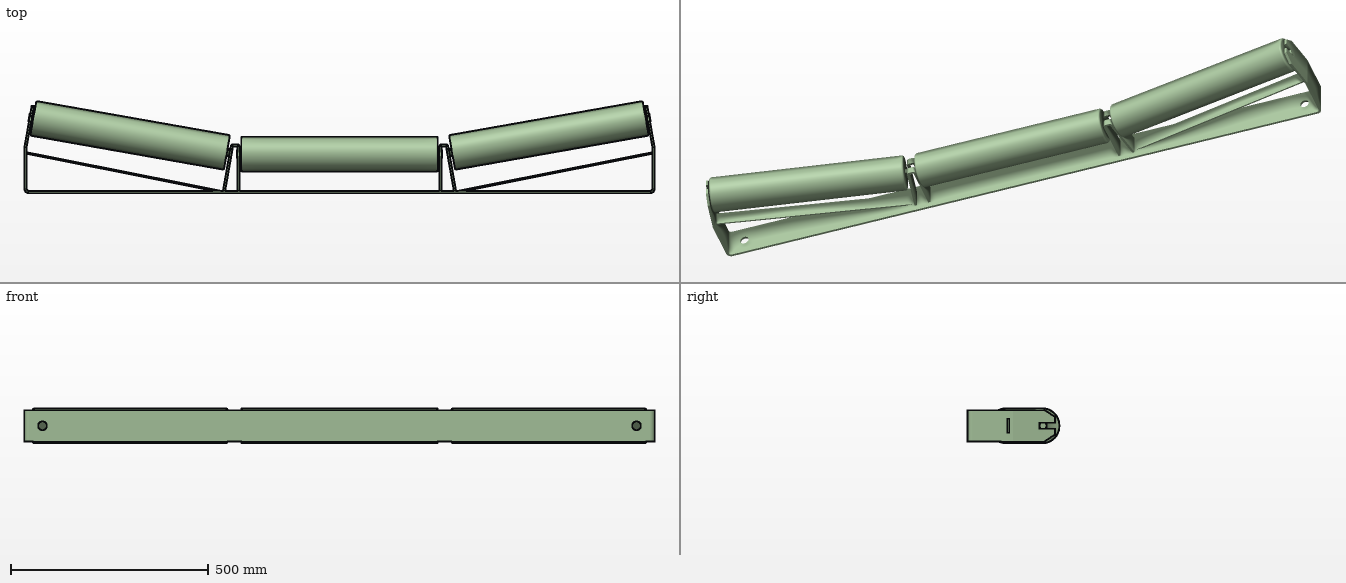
import cadquery as cq
import math

frame_length = 1600.0
strip_width = 80.0
strip_thickness = 6.0
overall_height = 234.0
tilt = 10.0

corner_radius = 13.0
arm_bend_height = 115.0
arm_tip_height = 222.0
tip_chamfer_across = 18.0
tip_chamfer_along = 27.0
bolt_hole_diameter = 22.0
bolt_hole_inset = 46.0

roller_diameter = 90.0
roller_length = 500.0
roller_edge_radius = 5.0
shaft_diameter = 20.0
shaft_flat_width = 15.0
shaft_overhang = 11.0
middle_axis_height = 100.0
outer_roller_x = 531.0

bracket_width = 50.0
bracket_height = 125.0
bracket_bend_radius = 8.0
bracket_upright_x = 253.0
bracket_foot_x = 296.0

brace_width = 35.0
brace_thickness = 4.0
brace_arm_height = 105.0
brace_foot_x = 300.0

half_length = frame_length / 2
tilt_cos = math.cos(math.radians(tilt))
tilt_sin = math.sin(math.radians(tilt))
lean = tilt_sin / tilt_cos
roller_radius = roller_diameter / 2
rounded_edge_rise = (
    (roller_length / 2 - roller_edge_radius) * tilt_sin
    + (roller_radius - roller_edge_radius) * tilt_cos
    + roller_edge_radius
)
outer_axis_height = overall_height - rounded_edge_rise


def bar_along_x(outline, length):
    """Extrude a YZ outline along X, centred on X = 0."""
    return outline.extrude(length).translate((-length / 2, 0, 0))


def extrude_across(outline, width):
    """Extrude an XY outline symmetrically about Z = 0."""
    return outline.extrude(width / 2, both=True)


def mirrored(body):
    """Copy a body to the other side of X = 0."""
    return body.mirror("YZ")


def place_left_roller(body):
    """Move a body modelled about the origin along X onto the left roller axis."""
    tilted = body.rotate((0, 0, 0), (0, 0, 1), -tilt)
    return tilted.translate((-outer_roller_x, outer_axis_height, 0))


def place_middle_roller(body):
    """Move a body modelled about the origin along X onto the middle roller axis."""
    return body.translate((0, middle_axis_height, 0))


def make_roller():
    """Drum along X with a flatted shaft end at each side."""
    drum = bar_along_x(cq.Workplane("YZ").circle(roller_radius), roller_length)
    drum = drum.edges("%CIRCLE").fillet(roller_edge_radius)
    shaft_length = roller_length + 2 * shaft_overhang
    shaft = bar_along_x(cq.Workplane("YZ").circle(shaft_diameter / 2), shaft_length)
    flats = cq.Workplane("XY").box(shaft_length, shaft_diameter, shaft_flat_width)
    return drum.union(shaft.intersect(flats))


def make_shaft_slots():
    """Open-topped slot cutters for the shaft ends of a roller centred on the origin along X."""
    slot_length = 2 * shaft_overhang
    slot = cq.Workplane("XY").box(
        slot_length, overall_height, shaft_flat_width, centered=(False, False, True)
    )
    slot = slot.translate((roller_length / 2, -shaft_diameter / 2, 0))
    return slot.union(mirrored(slot))


def make_brace():
    """Left brace: outer end flush with the outside of the arm, foot flat on the base."""
    run = half_length - brace_foot_x
    drop = brace_arm_height - strip_thickness
    slope = math.atan2(drop, run)
    outline = (
        cq.Workplane("XY")
        .moveTo(-half_length, brace_arm_height)
        .lineTo(-brace_foot_x, strip_thickness)
        .lineTo(-brace_foot_x - brace_thickness / math.sin(slope), strip_thickness)
        .lineTo(-half_length, brace_arm_height - brace_thickness / math.cos(slope))
        .close()
    )
    return extrude_across(outline, brace_width)


def make_bent_strip():
    """Left half of the frame strip: base, upright and leaning arm."""
    inner_x = half_length - strip_thickness
    tip_outer_x = half_length - (arm_tip_height - arm_bend_height) * lean
    tip_inner_x = tip_outer_x - strip_thickness * tilt_cos
    tip_inner_height = arm_tip_height - strip_thickness * tilt_sin
    outline = (
        cq.Workplane("XY")
        .moveTo(0, 0)
        .lineTo(-half_length, 0)
        .lineTo(-half_length, arm_bend_height)
        .lineTo(-tip_outer_x, arm_tip_height)
        .lineTo(-tip_inner_x, tip_inner_height)
        .lineTo(-inner_x, arm_bend_height)
        .lineTo(-inner_x, strip_thickness)
        .lineTo(0, strip_thickness)
        .close()
    )
    strip = extrude_across(outline, strip_width)
    outer_corner = cq.selectors.NearestToPointSelector((-half_length, 0, 0))
    strip = strip.edges(outer_corner).fillet(corner_radius)
    inner_corner = cq.selectors.NearestToPointSelector((-inner_x, strip_thickness, 0))
    return strip.edges(inner_corner).fillet(corner_radius - strip_thickness)


def chamfer_arm_tip(body):
    """Cut both corners off the free end of an arm."""
    edge_z = strip_width / 2
    for side in (-1, 1):
        corner = (
            cq.Workplane("YZ")
            .moveTo(arm_tip_height, side * edge_z)
            .lineTo(arm_tip_height - tip_chamfer_along, side * edge_z)
            .lineTo(arm_tip_height, side * (edge_z - tip_chamfer_across))
            .close()
        )
        body = body.cut(bar_along_x(corner, frame_length))
    return body


def make_frame():
    """One bent strip with openings for the shafts, the braces and the mounting bolts."""
    half = chamfer_arm_tip(make_bent_strip())
    half = half.cut(place_left_roller(make_shaft_slots()))
    half = half.cut(make_brace())
    bolt_hole = (
        cq.Workplane("XZ", origin=(-half_length + bolt_hole_inset, 0, 0))
        .circle(bolt_hole_diameter / 2)
        .extrude(-strip_thickness)
    )
    half = half.cut(bolt_hole)
    return half.union(mirrored(half))


def make_bracket():
    """Left bracket, standing on the base and slotted for two shaft ends."""
    web_height = bracket_height - strip_thickness
    upright_inner_x = bracket_upright_x + strip_thickness
    foot_inner_x = bracket_foot_x - strip_thickness / tilt_cos
    outline = (
        cq.Workplane("XY")
        .moveTo(-bracket_upright_x, strip_thickness)
        .lineTo(-bracket_upright_x, bracket_height)
        .lineTo(-bracket_foot_x + (bracket_height - strip_thickness) * lean, bracket_height)
        .lineTo(-bracket_foot_x, strip_thickness)
        .lineTo(-foot_inner_x, strip_thickness)
        .lineTo(-foot_inner_x + (web_height - strip_thickness) * lean, web_height)
        .lineTo(-upright_inner_x, web_height)
        .lineTo(-upright_inner_x, strip_thickness)
        .close()
    )
    bracket = extrude_across(outline, bracket_width)
    bracket = bracket.faces(">Y").edges("|Z").fillet(bracket_bend_radius)
    bracket = bracket.cut(place_middle_roller(make_shaft_slots()))
    return bracket.cut(place_left_roller(make_shaft_slots()))


frame = make_frame()
bracket = make_bracket()
brace = make_brace()
outer_roller = place_left_roller(make_roller())
middle_roller = place_middle_roller(make_roller())

bodies = [frame.solids().val(), middle_roller.solids().val()]
for left_body in (bracket, brace, outer_roller):
    bodies.append(left_body.solids().val())
    bodies.append(mirrored(left_body).solids().val())

result = cq.Compound.makeCompound(bodies)